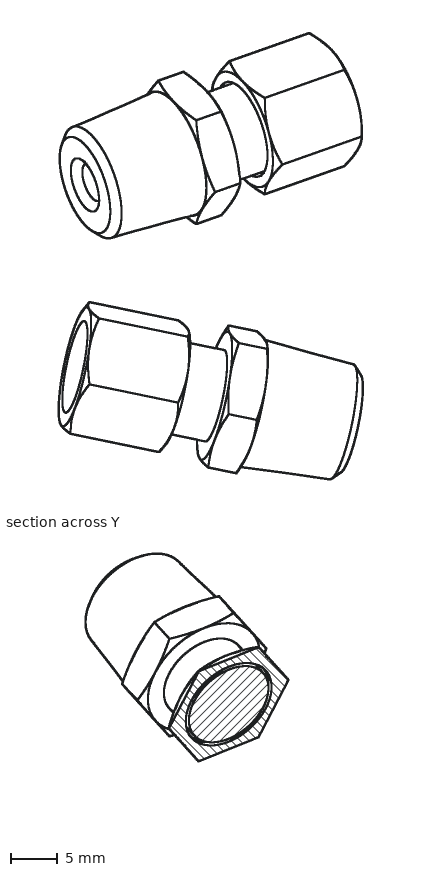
import cadquery as cq
import math

TOTAL_LENGTH = 30.5

NUT_LENGTH = 11.0
NECK_LENGTH = 4.5
BODY_HEX_LENGTH = 4.0
GAUGE_LENGTH = 5.65
TIP_CHAMFER_LENGTH = 0.88
NUT_MOUTH_DEPTH = 1.22

NUT_ACROSS_FLATS = 13.0
NUT_CHAMFER_ANGLE = 30.0
BODY_ACROSS_FLATS = 14.0
BODY_CHAMFER_ANGLE = 22.0

BARREL_DIAMETER = 10.0
NUT_MOUTH_DIAMETER = 10.68
THREAD_ROOT_DIAMETER = 13.9
THREAD_GAUGE_DIAMETER = 13.15
THREAD_TIP_DIAMETER = 12.6
TIP_FACE_DIAMETER = 10.83
RECESS_MOUTH_DIAMETER = 6.0
RECESS_FLOOR_DIAMETER = 4.2

NUT_START = TOTAL_LENGTH - NUT_LENGTH
BODY_HEX_END = NUT_START - NECK_LENGTH
BODY_HEX_START = BODY_HEX_END - BODY_HEX_LENGTH
RECESS_DEPTH = (RECESS_MOUTH_DIAMETER - RECESS_FLOOR_DIAMETER) / 2


def revolved(profile):
    """Solid of revolution about Y from (diameter, y) points; the profile closes along the axis."""
    first_y = profile[0][1]
    last_y = profile[-1][1]
    outline = [(0, first_y)] + [(diameter / 2, y) for diameter, y in profile] + [(0, last_y)]
    return cq.Workplane("XY").polyline(outline).close().revolve(360, (0, 0, 0), (0, 1, 0))


def chamfered_hexagon(across_flats, start_y, length, chamfer_angle):
    """Hexagonal prism along Y whose corners are turned off conically at both ends."""
    across_corners = across_flats / math.cos(math.radians(30))
    chamfer_depth = (across_corners - across_flats) / 2 * math.tan(math.radians(chamfer_angle))
    end_y = start_y + length
    prism = (
        cq.Workplane("XZ", origin=(0, end_y, 0))
        .polygon(6, across_corners)
        .extrude(length)
    )
    turned_envelope = revolved([
        (across_flats, start_y),
        (across_corners, start_y + chamfer_depth),
        (across_corners, end_y - chamfer_depth),
        (across_flats, end_y),
    ])
    return prism.intersect(turned_envelope)


def make_body():
    """Male body: tapered thread end, wrench hexagon and the barrel that fills the nut bore."""
    hexagon = chamfered_hexagon(BODY_ACROSS_FLATS, BODY_HEX_START, BODY_HEX_LENGTH, BODY_CHAMFER_ANGLE)
    thread = revolved([
        (TIP_FACE_DIAMETER, 0),
        (THREAD_TIP_DIAMETER, TIP_CHAMFER_LENGTH),
        (THREAD_GAUGE_DIAMETER, GAUGE_LENGTH),
        (THREAD_ROOT_DIAMETER, BODY_HEX_START),
    ])
    barrel = revolved([(BARREL_DIAMETER, BODY_HEX_END), (BARREL_DIAMETER, TOTAL_LENGTH)])
    recess = revolved([(RECESS_MOUTH_DIAMETER, 0), (RECESS_FLOOR_DIAMETER, RECESS_DEPTH)])
    return hexagon.union(thread).union(barrel).cut(recess)


def make_nut():
    """Compression nut: hexagon with a through bore and a counterbored mouth facing the body."""
    hexagon = chamfered_hexagon(NUT_ACROSS_FLATS, NUT_START, NUT_LENGTH, NUT_CHAMFER_ANGLE)
    bore = revolved([
        (NUT_MOUTH_DIAMETER, NUT_START),
        (NUT_MOUTH_DIAMETER, NUT_START + NUT_MOUTH_DEPTH),
        (BARREL_DIAMETER, NUT_START + NUT_MOUTH_DEPTH),
        (BARREL_DIAMETER, TOTAL_LENGTH),
    ])
    return hexagon.cut(bore)


body = make_body()
nut = make_nut()

result = cq.Compound.makeCompound([body.val(), nut.val()])